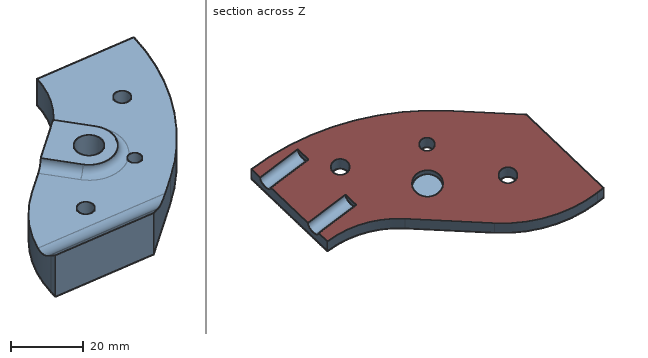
import cadquery as cq
import math

length = 69.0
width = 69.7
thickness = 10.0
left_end_width = 31.85
inner_radius = 29.7
outer_radius = 76.4
toe_radius = 39.45
diagonal = math.sqrt(0.5)

inner_start_y = width - left_end_width
inner_center = (0, inner_start_y - inner_radius)
outer_center = (0, width - outer_radius)
inner_edge_sum = inner_center[1] + inner_radius / diagonal
outer_edge_sum = outer_center[1] + outer_radius / diagonal

lip_height = 15.7
lip_start_x = 58.55
lip_radius = 10.0
lip_angle = 39.0

boss_x = 33.5
boss_y = 33.7
boss_radius = 8.0
boss_rise = 3.0
flare_radius = boss_rise
boss_hole_diameter = 8.5
boss_hole_depth = 10.0

mount_hole_diameter = 5.1
mount_holes = [(18.95, 53.8), (51.95, 20.85)]
pin_hole_diameter = 4.2
pin_hole = (41.9, 43.4)
end_hole_diameter = 4.3
end_hole_depth = 13.95
end_hole_ys = [43.85, 63.8]


def arc_points(center, radius, start_angle, end_angle):
    """Return the middle and end points of an arc, with angles in degrees."""
    angles = ((start_angle + end_angle) / 2, end_angle)
    return [
        (
            center[0] + radius * math.cos(math.radians(angle)),
            center[1] + radius * math.sin(math.radians(angle)),
        )
        for angle in angles
    ]


def outline_prism(height):
    """Plan outline: arcs tangent to two parallel 45 degree edges."""
    toe_center = (inner_edge_sum - toe_radius + toe_radius / diagonal, toe_radius)

    inner_mid, inner_end = arc_points(inner_center, inner_radius, 90, 45)
    toe_mid, toe_end = arc_points(toe_center, toe_radius, 225, 270)
    toe_start = (toe_center[0] - toe_radius * diagonal, toe_radius * (1 - diagonal))
    outer_start = (outer_radius * diagonal, outer_center[1] + outer_radius * diagonal)
    outer_mid, outer_end = arc_points(outer_center, outer_radius, 45, 90)

    return (
        cq.Workplane("XY")
        .moveTo(0, inner_start_y)
        .threePointArc(inner_mid, inner_end)
        .lineTo(*toe_start)
        .threePointArc(toe_mid, toe_end)
        .lineTo(length, 0)
        .lineTo(length, outer_edge_sum - length)
        .lineTo(*outer_start)
        .threePointArc(outer_mid, outer_end)
        .close()
        .extrude(height)
    )


def lip_profile():
    """Side profile of the plate, curving up into the sloped lip."""
    arc_center = (lip_start_x, thickness + lip_radius)
    end_angle = -90 + lip_angle
    arc_mid, arc_end = arc_points(arc_center, lip_radius, -90, end_angle)
    return (
        cq.Workplane("XZ")
        .lineTo(length, 0)
        .lineTo(length, lip_height)
        .lineTo(*arc_end)
        .threePointArc(arc_mid, (lip_start_x, thickness))
        .lineTo(0, thickness)
        .close()
        .extrude(-width)
    )


def flared_boss():
    """Round boss carried straight to the inner 45 degree edge, with a quarter-round flare."""
    top = thickness + boss_rise
    straight_length = (boss_x + boss_y - inner_edge_sum) * diagonal
    foot_radius = boss_radius + flare_radius
    flare_middle = (
        foot_radius - flare_radius * diagonal,
        top - flare_radius * diagonal,
    )

    def half_section(plane):
        """Half of the boss cross-section, from the base to the top."""
        return (
            cq.Workplane(plane)
            .lineTo(foot_radius, 0)
            .lineTo(foot_radius, thickness)
            .threePointArc(flare_middle, (boss_radius, top))
            .lineTo(0, top)
            .close()
        )

    round_end = half_section("XZ").revolve(360, (0, 0, 0), (0, 1, 0))
    straight_half = half_section("XZ").extrude(straight_length)
    straight = straight_half.union(straight_half.mirror("YZ"))
    boss = round_end.union(straight)
    return boss.rotate((0, 0, 0), (0, 0, 1), -45).translate((boss_x, boss_y, 0))


def vertical_holes(points, diameter, bottom=0.0):
    return (
        cq.Workplane("XY", origin=(0, 0, bottom))
        .pushPoints(points)
        .circle(diameter / 2)
        .extrude(lip_height)
    )


def end_holes():
    """Blind holes bored into the left end at mid-thickness."""
    return (
        cq.Workplane("YZ")
        .pushPoints([(y, thickness / 2) for y in end_hole_ys])
        .circle(end_hole_diameter / 2)
        .extrude(end_hole_depth)
    )


plate = outline_prism(lip_height).intersect(lip_profile())
boss_hole_bottom = thickness + boss_rise - boss_hole_depth

result = (
    plate.union(flared_boss())
    .cut(vertical_holes(mount_holes, mount_hole_diameter))
    .cut(vertical_holes([pin_hole], pin_hole_diameter))
    .cut(vertical_holes([(boss_x, boss_y)], boss_hole_diameter, boss_hole_bottom))
    .cut(end_holes())
)